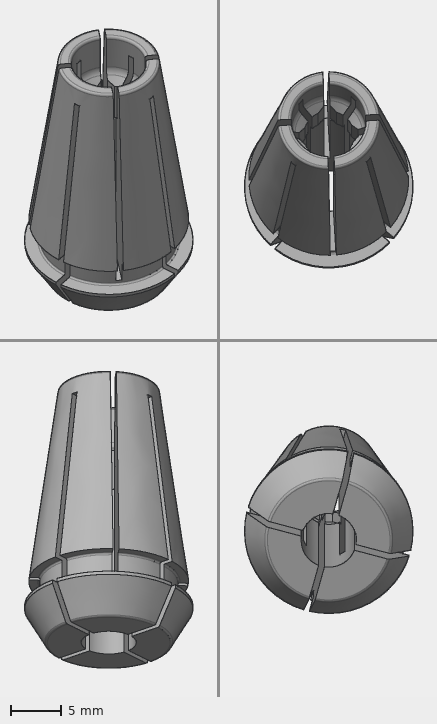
import cadquery as cq
import math


height = 27.5
flange_diameter = 16.8
flange_radius = flange_diameter / 2
flange_top = 4.02
flange_rim_bottom = 3.65
nose_angle = 30.0
neck_radius = 6.9
neck_top = 6.68
taper_base_radius = 7.98
taper_angle = 8.0
neck_fillet = 0.2
nose_fillet = 0.3
top_outer_fillet = 0.28

shank_radius = 2.75
shank_depth = 17.98
rear_bore_radius = 3.7
rear_bore_bottom = 23.57
rear_bore_fillet = 1.0
rear_floor_angle = 50.0
top_inner_fillet = 0.3

square_size = 4.6
relief_radius = 2.5

slot_width = 0.6
nose_slot_top = 25.5
rear_slot_bottom = 4.5
rear_slot_turn = 45
edge_margin = 0.03


def tangent(degrees):
    return math.tan(math.radians(degrees))


def round_edge(solid, radius, z, fillet):
    """Fillet the circular edge of the given radius at height z."""
    reach = radius + edge_margin
    ring = cq.selectors.BoxSelector(
        (-reach, -reach, z - edge_margin), (reach, reach, z + edge_margin), boundingbox=True
    )
    return solid.edges(ring).fillet(fillet)


def make_body():
    """Solid of revolution: nose cone, flange rim, neck and locking taper."""
    nose_radius = flange_radius - flange_rim_bottom * tangent(nose_angle)
    taper_top_radius = taper_base_radius - (height - neck_top) * tangent(taper_angle)
    profile = [
        (0, 0),
        (nose_radius, 0),
        (flange_radius, flange_rim_bottom),
        (flange_radius, flange_top),
        (neck_radius, flange_top),
        (neck_radius, neck_top),
        (taper_base_radius, neck_top),
        (taper_top_radius, height),
        (0, height),
    ]
    body = cq.Workplane("XZ").polyline(profile).close().revolve(360, (0, 0), (0, 1))

    body = round_edge(body, nose_radius, 0, nose_fillet)
    body = round_edge(body, neck_radius, flange_top, neck_fillet)
    body = round_edge(body, neck_radius, neck_top, neck_fillet)
    return round_edge(body, taper_top_radius, height, top_outer_fillet)


def make_rear_bore():
    """Bore open at the top: rounded mouth, straight wall, rounded corner and conical floor."""
    center = (rear_bore_radius - rear_bore_fillet, rear_bore_bottom)

    def corner_point(degrees):
        angle = math.radians(degrees)
        return (
            center[0] + rear_bore_fillet * math.cos(angle),
            center[1] - rear_bore_fillet * math.sin(angle),
        )

    floor_radius, floor_z = corner_point(rear_floor_angle)
    tip_z = floor_z - floor_radius / tangent(rear_floor_angle)
    mouth_offset = top_inner_fillet * (1 - math.cos(math.radians(45)))
    return (
        cq.Workplane("XZ")
        .moveTo(0, tip_z)
        .lineTo(floor_radius, floor_z)
        .threePointArc(corner_point(rear_floor_angle / 2), (rear_bore_radius, rear_bore_bottom))
        .lineTo(rear_bore_radius, height - top_inner_fillet)
        .threePointArc(
            (rear_bore_radius + mouth_offset, height - mouth_offset),
            (rear_bore_radius + top_inner_fillet, height),
        )
        .lineTo(0, height)
        .close()
        .revolve(360, (0, 0), (0, 1))
    )


def make_drive():
    """Square hole and its round relief, from the end of the shank bore into the rear bore."""
    length = rear_bore_bottom - shank_depth
    plane = cq.Workplane("XY").workplane(offset=shank_depth)
    square = plane.rect(square_size, square_size).extrude(length)
    relief = plane.circle(relief_radius).extrude(length)
    return square.union(relief)


def make_shank_bore():
    return cq.Workplane("XY").circle(shank_radius).extrude(shank_depth)


def make_cross_slot(bottom, top, angle):
    """Two crossing slots, turned by an angle about the axis, through the full width of the collet."""
    length = 2 * flange_radius + slot_width
    cross = cq.Workplane("XY").workplane(offset=bottom)
    blade = cross.rect(length, slot_width).extrude(top - bottom)
    return blade.union(blade.rotate((0, 0, 0), (0, 0, 1), 90)).rotate((0, 0, 0), (0, 0, 1), angle)


result = (
    make_body()
    .cut(make_rear_bore())
    .cut(make_drive())
    .cut(make_shank_bore())
    .cut(make_cross_slot(0, nose_slot_top, 0))
    .cut(make_cross_slot(rear_slot_bottom, height, rear_slot_turn))
)